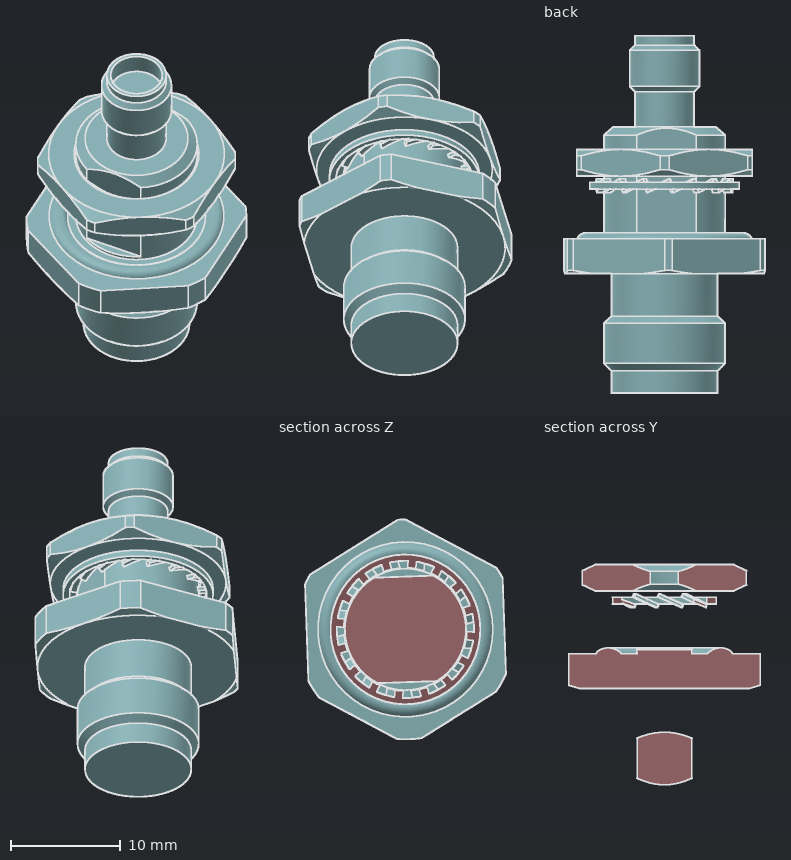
import cadquery as cq
import math


TOTAL_HEIGHT = 32.5
LARGE_CHAMFER_BOTTOM = 2.0
LARGE_THREAD_BOTTOM = 2.7
LARGE_THREAD_TOP = 6.37
LARGE_CHAMFER_TOP = 7.0
FLANGE_BOTTOM = 10.85
FLANGE_TOP = 14.05
FLATS_BOTTOM = 14.43
WASHER_BOTTOM = 18.55
NUT_BOTTOM = 19.73
BARREL_CHAMFER_BOTTOM = 23.45
BARREL_TOP = 24.2
SMALL_CHAMFER_BOTTOM = 27.4
SMALL_THREAD_BOTTOM = 27.9
SMALL_THREAD_TOP = 31.17
SMALL_CHAMFER_TOP = 31.65

LARGE_NECK_RADIUS = 4.85
BARREL_RADIUS = 5.52
BARREL_TOP_RADIUS = 4.68
SMALL_NECK_RADIUS = 2.7
SMALL_THREAD_RADIUS = 3.2
SOCKET_RADIUS = 2.35
SOCKET_DEPTH = 1.95

BODY_TURN = 2.0
FLATS_HALF_WIDTH = 4.8

FLANGE_HALF_WIDTH = 9.0
FLANGE_OFFSET_X = 0.015
FLANGE_OFFSET_Y = -0.2
FLANGE_CORNER_RADIUS = 10.0
FLANGE_BEVEL_RADIUS = 9.15
FLANGE_BEVEL_HEIGHT = 0.3

SEAL_RADIUS = 7.12
SEAL_TUBE_RADIUS = 0.9
SEAL_STANDOUT = 0.55

NUT_HEIGHT = 2.45
NUT_HALF_WIDTH = 8.0
NUT_CORNER_RADIUS = 9.0
NUT_BEVEL_HEIGHT = 0.6
NUT_BORE_RADIUS = 5.07
NUT_SINK_RADIUS = 5.7

WASHER_THICKNESS = 0.62
WASHER_OUTER_RADIUS = 6.82
WASHER_RING_INNER_RADIUS = 6.25
TOOTH_TIP_RADIUS = 5.6
TOOTH_COUNT = 16
TOOTH_LENGTH = 2.4
TOOTH_THICKNESS = 0.32
TOOTH_TILT = 24.0
FIRST_TOOTH_ANGLE = -5.5


def cylinder(radius, bottom, height):
    return cq.Workplane("XY").workplane(offset=bottom).circle(radius).extrude(height)


def revolved(profile):
    """Turn a closed outline of (radius, height) points about the Z axis."""
    return cq.Workplane("XZ").polyline(profile).close().revolve(360, (0, 0, 0), (0, 1, 0))


def hexagon(half_width, bottom, height):
    """Hexagonal prism with two of its flats facing along X."""
    corner_radius = half_width / math.cos(math.radians(30))
    prism = cq.Workplane("XY").workplane(offset=bottom).polygon(6, 2 * corner_radius).extrude(height)
    return prism.rotate((0, 0, 0), (0, 0, 1), 30)


def make_turned_core():
    return revolved([
        (0, 0),
        (LARGE_NECK_RADIUS, 0),
        (LARGE_NECK_RADIUS, LARGE_CHAMFER_BOTTOM),
        (BARREL_RADIUS, LARGE_THREAD_BOTTOM),
        (BARREL_RADIUS, LARGE_THREAD_TOP),
        (LARGE_NECK_RADIUS, LARGE_CHAMFER_TOP),
        (LARGE_NECK_RADIUS, FLANGE_BOTTOM),
        (BARREL_RADIUS, FLANGE_BOTTOM),
        (BARREL_RADIUS, BARREL_CHAMFER_BOTTOM),
        (BARREL_TOP_RADIUS, BARREL_TOP),
        (SMALL_NECK_RADIUS, BARREL_TOP),
        (SMALL_NECK_RADIUS, SMALL_CHAMFER_BOTTOM),
        (SMALL_THREAD_RADIUS, SMALL_THREAD_BOTTOM),
        (SMALL_THREAD_RADIUS, SMALL_THREAD_TOP),
        (SMALL_NECK_RADIUS, SMALL_CHAMFER_TOP),
        (SMALL_NECK_RADIUS, TOTAL_HEIGHT),
        (0, TOTAL_HEIGHT),
    ])


def cut_barrel_flats(body):
    """Mill two opposite flats on the barrel, stopping just above the flange."""
    for side in (1, -1):
        cutter = (
            cq.Workplane("XY")
            .workplane(offset=FLATS_BOTTOM)
            .center(0, side * (FLATS_HALF_WIDTH + BARREL_RADIUS / 2))
            .rect(2 * BARREL_RADIUS, BARREL_RADIUS)
            .extrude(BARREL_TOP - FLATS_BOTTOM)
        )
        body = body.cut(cutter.rotate((0, 0, 0), (0, 0, 1), BODY_TURN))
    return body


def make_flange():
    hexagonal_blank = (
        hexagon(FLANGE_HALF_WIDTH, FLANGE_BOTTOM, FLANGE_TOP - FLANGE_BOTTOM)
        .rotate((0, 0, 0), (0, 0, 1), BODY_TURN)
        .translate((FLANGE_OFFSET_X, FLANGE_OFFSET_Y, 0))
    )
    turned_corners = revolved([
        (0, FLANGE_BOTTOM),
        (FLANGE_BEVEL_RADIUS, FLANGE_BOTTOM),
        (FLANGE_CORNER_RADIUS, FLANGE_BOTTOM + FLANGE_BEVEL_HEIGHT),
        (FLANGE_CORNER_RADIUS, FLANGE_TOP),
        (0, FLANGE_TOP),
    ])
    return hexagonal_blank.intersect(turned_corners)


def make_seal():
    tube_height = FLANGE_TOP + SEAL_STANDOUT - SEAL_TUBE_RADIUS
    return (
        cq.Workplane("XZ")
        .center(SEAL_RADIUS, tube_height)
        .circle(SEAL_TUBE_RADIUS)
        .revolve(360, (-SEAL_RADIUS, 0, 0), (-SEAL_RADIUS, 1, 0))
    )


def make_nut():
    nut_top = NUT_BOTTOM + NUT_HEIGHT
    sink_depth = NUT_SINK_RADIUS - NUT_BORE_RADIUS
    turned_section = revolved([
        (NUT_BORE_RADIUS, NUT_BOTTOM + sink_depth),
        (NUT_SINK_RADIUS, NUT_BOTTOM),
        (NUT_HALF_WIDTH, NUT_BOTTOM),
        (NUT_CORNER_RADIUS, NUT_BOTTOM + NUT_BEVEL_HEIGHT),
        (NUT_CORNER_RADIUS, nut_top - NUT_BEVEL_HEIGHT),
        (NUT_HALF_WIDTH, nut_top),
        (NUT_SINK_RADIUS, nut_top),
        (NUT_BORE_RADIUS, nut_top - sink_depth),
    ])
    return hexagon(NUT_HALF_WIDTH, NUT_BOTTOM, NUT_HEIGHT).intersect(turned_section)


def make_connector():
    """Connector body; its seal and its nut are joined to it."""
    body = cut_barrel_flats(make_turned_core())
    body = body.union(make_flange()).union(make_seal()).union(make_nut())
    socket = cylinder(SOCKET_RADIUS, TOTAL_HEIGHT - SOCKET_DEPTH, SOCKET_DEPTH)
    return body.cut(socket)


def make_lock_washer():
    """Flat ring with a circle of tilted teeth on its inside."""
    middle = WASHER_BOTTOM + WASHER_THICKNESS / 2
    washer = cylinder(WASHER_OUTER_RADIUS, WASHER_BOTTOM, WASHER_THICKNESS)
    washer = washer.cut(cylinder(WASHER_RING_INNER_RADIUS, WASHER_BOTTOM, WASHER_THICKNESS))
    tooth_zone = cylinder(WASHER_RING_INNER_RADIUS, middle - TOOTH_LENGTH / 2, TOOTH_LENGTH)
    tooth_zone = tooth_zone.cut(cylinder(TOOTH_TIP_RADIUS, middle - TOOTH_LENGTH / 2, TOOTH_LENGTH))
    tooth = (
        cq.Workplane("XY")
        .box(WASHER_OUTER_RADIUS, TOOTH_LENGTH, TOOTH_THICKNESS, centered=(False, True, True))
        .rotate((0, 0, 0), (1, 0, 0), TOOTH_TILT)
        .translate((0, 0, middle))
        .intersect(tooth_zone)
    )
    for index in range(TOOTH_COUNT):
        angle = FIRST_TOOTH_ANGLE + index * 360 / TOOTH_COUNT
        washer = washer.union(tooth.rotate((0, 0, 0), (0, 0, 1), angle))
    return washer


connector = make_connector()
lock_washer = make_lock_washer()

result = cq.Compound.makeCompound([connector.solids().val(), lock_washer.solids().val()])